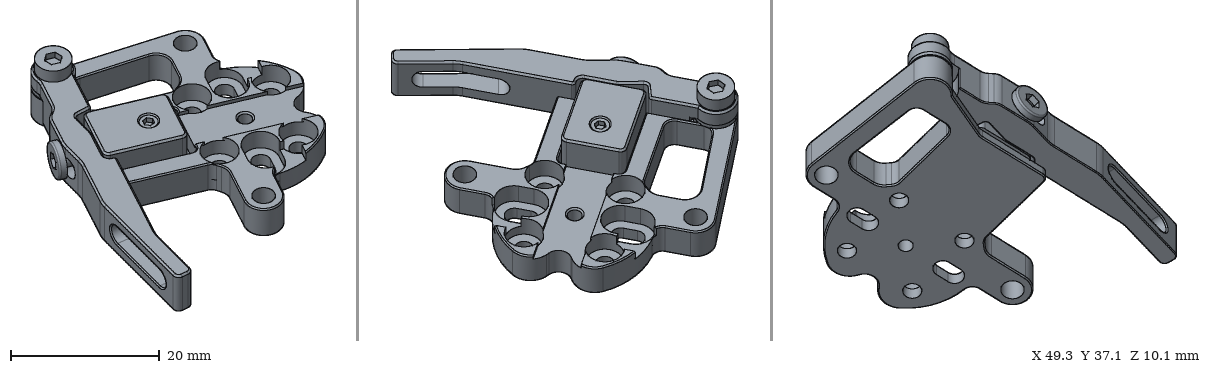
import cadquery as cq
import math

PLATE_HEIGHT = 5.0
LEDGE_HEIGHT = 1.5
EDGE_CHAMFER = 0.2
HEAD_RADIUS = 11.1
HEAD_FILLET = 1.5
NOTCH_BOTTOM_Y = 7.05
NOTCH_RADIUS = 1.8
NOTCH_SLOPE = 57
NOTCH_PEAK_RADIUS = 3.2
EAR_X = 16.0
EAR_Y = -2.95
EAR_RADIUS = 2.75
EAR_HOLE_DIAMETER = 3.15
BEVEL = 1.65
BEVEL_EAR_RADIUS = 2.2
BEVEL_LEG_RADIUS = 1.5
LEG_X = 7.65
LEG_FRONT_Y = -21.2
LEG_CORNER_RADIUS = 1.0
LEDGE_ANGLE = 23
LEDGE_CORNER_X = -4.1
LEDGE_CORNER_RADIUS = 1.73
WINDOW_TOP_Y = -5.85
WINDOW_BOTTOM_Y = -19.85
WINDOW_LEFT_TOP_X = -15.65
WINDOW_LEFT_BOTTOM_X = -14.15
WINDOW_RADIUS = 1.5
WINDOW_EAR_RADIUS = 2.2
GROOVE_WIDTH = 6.65
GROOVE_DEPTH = 0.6
CENTRE_HOLE_DIAMETER = 2.0
CENTRE_HOLE_CHAMFER = 0.25
SCREW_HOLE_OFFSET = 5.6
SCREW_HOLE_DIAMETER = 2.55
POCKET_DIAMETER = 5.25
POCKET_DEPTH = 3.0
SLOT_X = 7.4
SLOT_LENGTH = 4.7
SLOT_WIDTH = 2.7
SLOT_POCKET_LENGTH = 7.4
SIDE_STEP_DEPTH = 1.5
SIDE_STEP_X = 6.65
SIDE_STEP_FRONT_Y = 0.25
SIDE_STEP_BACK_Y = 5.22
SIDE_STEP_OVERHANG = 1.0
SIDE_STEP_RADIUS = 0.6

PIVOT_X = -13.8
PIVOT_Y = -22.55
PIVOT_RADIUS = 3.0
WASHER_THICKNESS = 0.65
PIVOT_SHANK_DIAMETER = 3.0
PIVOT_SHANK_LENGTH = 6.4
PIVOT_HEAD_DIAMETER = 5.1
PIVOT_HEAD_HEIGHT = 2.0
SOCKET_DIAMETER = 2.5
SOCKET_DEPTH = 1.0
SOCKET_TURN = 90

LEVER_TOP = 8.05
LEVER_CHAMFER = 0.3
LEVER_BOTTOM_CHAMFER = 0.15
LEVER_BACK_Y = -20.15
LEVER_FRONT_Y = -25.1
LEVER_BULGE_Y = -26.2
LEVER_NOTCH_Y = -21.75
NOTCH_MOUTH_X = 5.2
NOTCH_DEEP_X = -4.3
NOTCH_BEND_X = -0.3
NOTCH_DEEP_RADIUS = 0.6
NOTCH_INNER_RADIUS = 0.9
NOTCH_EDGE_RADIUS = 0.45
BULGE_LEFT_FOOT_X = -6.6
BULGE_LEFT_X = -5.0
BULGE_RIGHT_X = 0.65
BULGE_LEFT_RADIUS = 1.95
LEVER_BEND_BACK_X = 21.4
LEVER_BEND_FRONT_X = 13.4
LEVER_TIP_X = 30.04
ARM_ANGLE = 15
BEND_RADIUS = 4.95
TIP_RADIUS = 0.9
NECK_FILLET = 2.2
PIVOT_CLEARANCE_RADIUS = 3.85
STEP_CHAMFER = 0.25
ARM_SLOT_X = 21.75
ARM_SLOT_LENGTH = 13.15
ARM_SLOT_WIDTH = 3.0
STOP_HOLE_X = 2.05
STOP_HOLE_DIAMETER = 3.1
STOP_HOLE_DEPTH = 1.5

STOP_HEAD_DIAMETER = 5.35
STOP_HEAD_HEIGHT = 1.15
STOP_HEAD_FILLET = 0.25
STOP_SHANK_DIAMETER = 2.5
STOP_SHANK_LENGTH = 2.45

BLOCK_WIDTH = 9.05
BLOCK_BACK_Y = -9.6
BLOCK_FRONT_Y = -21.65
BLOCK_RADIUS = 0.9
BLOCK_CHAMFER = 0.3
BLOCK_POCKET_WIDTH = 9.35
BLOCK_POCKET_BACK_Y = -8.35
BLOCK_SCREW_Y = -13.75
BLOCK_SCREW_DIAMETER = 2.55
BLOCK_SCREW_LENGTH = 2.95
BLOCK_SCREW_CHAMFER = 0.2
BLOCK_SOCKET_DIAMETER = 1.65

ARM_SLOPE = math.tan(math.radians(ARM_ANGLE))
LEVER_MIDDLE_Z = (LEDGE_HEIGHT + LEVER_TOP) / 2
WASHER_TOP = PLATE_HEIGHT + WASHER_THICKNESS
OVERCUT = 2.45


def rounded_prism(corners, bottom, top):
    """Upright prism from (x, y, radius) corners; a radius of 0 leaves the corner sharp."""
    path = []
    for i, (x, y, radius) in enumerate(corners):
        corner = cq.Vector(x, y)
        before = (cq.Vector(*corners[i - 1][:2]) - corner).normalized()
        after = (cq.Vector(*corners[(i + 1) % len(corners)][:2]) - corner).normalized()
        if radius == 0:
            path.append((corner, None, corner))
            continue
        half = before.getAngle(after) / 2
        reach = radius / math.tan(half)
        sagitta = radius / math.sin(half) - radius
        middle = corner + (before + after).normalized() * sagitta
        path.append((corner + before * reach, middle, corner + after * reach))
    outline = cq.Workplane("XY", origin=(0, 0, bottom)).moveTo(*path[0][2].toTuple()[:2])
    for start, middle, end in path[1:] + path[:1]:
        outline = outline.lineTo(*start.toTuple()[:2])
        if middle is not None:
            outline = outline.threePointArc(middle.toTuple()[:2], end.toTuple()[:2])
    return outline.wire().extrude(top - bottom)


def cylinder(x, y, diameter, bottom, top):
    return cq.Workplane("XY", origin=(x, y, bottom)).circle(diameter / 2).extrude(top - bottom)


def box(x_min, x_max, y_min, y_max, bottom, top):
    corners = [(x_min, y_min, 0), (x_max, y_min, 0), (x_max, y_max, 0), (x_min, y_max, 0)]
    return rounded_prism(corners, bottom, top)


def countersink(x, y, diameter, chamfer, top):
    """45-degree cone that chamfers the rim of a hole."""
    radius = diameter / 2
    base = cq.Vector(x, y, top - chamfer)
    return cq.Workplane(cq.Solid.makeCone(radius, radius + chamfer, chamfer, base))


def fillet_edge_near(solid, point, radius):
    return solid.edges("|Z").edges(cq.selectors.NearestToPointSelector(point)).fillet(radius)


def plate_head():
    """Round head with a rounded V notch at the back."""
    head = cylinder(0, 0, 2 * HEAD_RADIUS, 0, PLATE_HEIGHT)
    head = head.cut(box(-HEAD_RADIUS, HEAD_RADIUS, -HEAD_RADIUS, EAR_Y, 0, PLATE_HEIGHT))
    slope = math.radians(NOTCH_SLOPE)
    apex_y = NOTCH_BOTTOM_Y + NOTCH_RADIUS - NOTCH_RADIUS / math.cos(slope)
    notch_top = HEAD_RADIUS + OVERCUT
    half_width = (notch_top - apex_y) / math.tan(slope)
    notch = rounded_prism(
        [(-half_width, notch_top, 0), (0, apex_y, NOTCH_RADIUS), (half_width, notch_top, 0)],
        0, PLATE_HEIGHT,
    )
    head = head.cut(notch)
    along_side = math.sqrt(HEAD_RADIUS**2 - (apex_y * math.cos(slope)) ** 2) - apex_y * math.sin(slope)
    peak_x = along_side * math.cos(slope)
    peak_y = apex_y + along_side * math.sin(slope)
    for side in (-1, 1):
        head = fillet_edge_near(head, (side * peak_x, peak_y, PLATE_HEIGHT / 2), NOTCH_PEAK_RADIUS)
    return head


def plate_frame():
    """Ears, legs, and the arm that runs down to the pivot boss."""
    ear_top = EAR_Y + EAR_RADIUS
    ear_bottom = EAR_Y - EAR_RADIUS
    run_x = PIVOT_X + EAR_X
    run_y = PIVOT_Y - EAR_Y
    distance = math.hypot(run_x, run_y)
    normal = math.atan2(run_y, run_x) - math.acos((EAR_RADIUS - PIVOT_RADIUS) / distance)
    boss_x = PIVOT_X + PIVOT_RADIUS * math.cos(normal)
    boss_y = PIVOT_Y + PIVOT_RADIUS * math.sin(normal)
    corner_x = boss_x - (ear_top - boss_y) * math.tan(normal)
    ledge_start_x = PIVOT_X + PIVOT_RADIUS / 2
    ledge_start_y = LEG_FRONT_Y - (LEDGE_CORNER_X - ledge_start_x) * math.tan(math.radians(LEDGE_ANGLE))
    frame = rounded_prism(
        [
            (corner_x, ear_top, EAR_RADIUS),
            (EAR_X, ear_top, 0),
            (EAR_X, ear_bottom, 0),
            (LEG_X + BEVEL, ear_bottom, BEVEL_EAR_RADIUS),
            (LEG_X, ear_bottom - BEVEL, BEVEL_LEG_RADIUS),
            (LEG_X, LEG_FRONT_Y, LEG_CORNER_RADIUS),
            (LEDGE_CORNER_X, LEG_FRONT_Y, LEDGE_CORNER_RADIUS),
            (ledge_start_x, ledge_start_y, 0),
            (PIVOT_X, PIVOT_Y, 0),
            (boss_x, boss_y, 0),
        ],
        0, PLATE_HEIGHT,
    )
    boss = cylinder(PIVOT_X, PIVOT_Y, 2 * PIVOT_RADIUS, 0, PLATE_HEIGHT)
    ear_end = cylinder(EAR_X, EAR_Y, 2 * EAR_RADIUS, 0, PLATE_HEIGHT)
    window = rounded_prism(
        [
            (WINDOW_LEFT_TOP_X, WINDOW_TOP_Y, WINDOW_EAR_RADIUS),
            (-LEG_X - BEVEL, WINDOW_TOP_Y, BEVEL_EAR_RADIUS),
            (-LEG_X, WINDOW_TOP_Y - BEVEL, BEVEL_LEG_RADIUS),
            (-LEG_X, WINDOW_BOTTOM_Y, WINDOW_RADIUS),
            (WINDOW_LEFT_BOTTOM_X, WINDOW_BOTTOM_Y, WINDOW_RADIUS),
        ],
        0, PLATE_HEIGHT,
    )
    return frame.union(boss).union(ear_end).cut(window)


def slot_prism(x, length, width, bottom, top):
    return cq.Workplane("XY", origin=(x, 0, bottom)).slot2D(length, width).extrude(top - bottom)


def make_plate():
    plate = plate_head().union(plate_frame())
    for side in (-1, 1):
        shoulder = (side * HEAD_RADIUS, EAR_Y + EAR_RADIUS, PLATE_HEIGHT / 2)
        plate = fillet_edge_near(plate, shoulder, HEAD_FILLET)
    plate = plate.faces(">Z").edges().chamfer(EDGE_CHAMFER)
    plate = plate.faces("<Z").edges().chamfer(EDGE_CHAMFER)

    recess_front = PIVOT_Y - PIVOT_RADIUS
    recess = box(PIVOT_X, LEG_X, recess_front, LEVER_BACK_Y, LEDGE_HEIGHT, PLATE_HEIGHT)
    boss = cylinder(PIVOT_X, PIVOT_Y, 2 * PIVOT_RADIUS, 0, PLATE_HEIGHT)
    plate = plate.cut(recess.cut(boss))

    half_width = BLOCK_POCKET_WIDTH / 2
    pocket = rounded_prism(
        [
            (-half_width, LEG_FRONT_Y, 0),
            (half_width, LEG_FRONT_Y, 0),
            (half_width, BLOCK_POCKET_BACK_Y, BLOCK_RADIUS),
            (-half_width, BLOCK_POCKET_BACK_Y, BLOCK_RADIUS),
        ],
        LEDGE_HEIGHT, PLATE_HEIGHT,
    )
    plate = plate.cut(pocket)
    rim = cq.selectors.BoxSelector(
        (-half_width - EDGE_CHAMFER, LEVER_BACK_Y + EDGE_CHAMFER, LEDGE_HEIGHT),
        (half_width + EDGE_CHAMFER, BLOCK_POCKET_BACK_Y + EDGE_CHAMFER, PLATE_HEIGHT + EDGE_CHAMFER),
    )
    plate = plate.faces(">Z").edges(rim).chamfer(EDGE_CHAMFER)

    groove_floor = PLATE_HEIGHT - GROOVE_DEPTH
    plate = plate.cut(
        box(-GROOVE_WIDTH / 2, GROOVE_WIDTH / 2, BLOCK_POCKET_BACK_Y, HEAD_RADIUS, groove_floor, PLATE_HEIGHT)
    )
    plate = plate.cut(cylinder(0, 0, CENTRE_HOLE_DIAMETER, 0, groove_floor))
    plate = plate.cut(countersink(0, 0, CENTRE_HOLE_DIAMETER, CENTRE_HOLE_CHAMFER, groove_floor))

    pocket_floor = PLATE_HEIGHT - POCKET_DEPTH
    for side in (-1, 1):
        plate = plate.cut(cylinder(side * EAR_X, EAR_Y, EAR_HOLE_DIAMETER, 0, PLATE_HEIGHT))
        for end in (-1, 1):
            x = side * SCREW_HOLE_OFFSET
            y = end * SCREW_HOLE_OFFSET
            plate = plate.cut(cylinder(x, y, SCREW_HOLE_DIAMETER, 0, PLATE_HEIGHT))
            plate = plate.cut(cylinder(x, y, POCKET_DIAMETER, pocket_floor, PLATE_HEIGHT))
        x = side * SLOT_X
        plate = plate.cut(slot_prism(x, SLOT_LENGTH, SLOT_WIDTH, 0, PLATE_HEIGHT))
        plate = plate.cut(slot_prism(x, SLOT_POCKET_LENGTH, POCKET_DIAMETER, pocket_floor, PLATE_HEIGHT))
        outside = side * (HEAD_RADIUS + SIDE_STEP_OVERHANG)
        inside = side * SIDE_STEP_X
        step = rounded_prism(
            [
                (outside, SIDE_STEP_FRONT_Y, 0),
                (inside, SIDE_STEP_FRONT_Y, 0),
                (inside, SIDE_STEP_BACK_Y, SIDE_STEP_RADIUS),
                (outside, SIDE_STEP_BACK_Y, 0),
            ],
            PLATE_HEIGHT - SIDE_STEP_DEPTH, PLATE_HEIGHT,
        )
        plate = plate.cut(step)
    return plate.cut(pivot_shank())


def pivot_shank():
    return cylinder(PIVOT_X, PIVOT_Y, PIVOT_SHANK_DIAMETER, LEVER_TOP - PIVOT_SHANK_LENGTH, LEVER_TOP)


def make_lever():
    tip_y = LEVER_BACK_Y + (LEVER_TIP_X - LEVER_BEND_BACK_X) * ARM_SLOPE
    rise = LEVER_BACK_Y - LEVER_FRONT_Y - (LEVER_BEND_BACK_X - LEVER_BEND_FRONT_X) * ARM_SLOPE
    angle = math.radians(ARM_ANGLE)
    thickness = rise * math.cos(angle)
    tip_front_x = LEVER_TIP_X + thickness * math.sin(angle)
    tip_front_y = tip_y - thickness * math.cos(angle)
    notch_deep_y = LEVER_NOTCH_Y - (NOTCH_BEND_X - NOTCH_DEEP_X) * ARM_SLOPE
    bulge_foot_x = BULGE_RIGHT_X + (LEVER_FRONT_Y - LEVER_BULGE_Y) / ARM_SLOPE
    lever = rounded_prism(
        [
            (PIVOT_X, LEVER_BACK_Y, 0),
            (-NOTCH_MOUTH_X, LEVER_BACK_Y, NOTCH_EDGE_RADIUS),
            (NOTCH_DEEP_X, notch_deep_y, NOTCH_DEEP_RADIUS),
            (NOTCH_BEND_X, LEVER_NOTCH_Y, NOTCH_INNER_RADIUS),
            (NOTCH_MOUTH_X, LEVER_NOTCH_Y, NOTCH_INNER_RADIUS),
            (NOTCH_MOUTH_X, LEVER_BACK_Y, NOTCH_EDGE_RADIUS),
            (LEVER_BEND_BACK_X, LEVER_BACK_Y, BEND_RADIUS),
            (LEVER_TIP_X, tip_y, TIP_RADIUS),
            (tip_front_x, tip_front_y, TIP_RADIUS),
            (LEVER_BEND_FRONT_X, LEVER_FRONT_Y, BEND_RADIUS),
            (bulge_foot_x, LEVER_FRONT_Y, BEND_RADIUS),
            (BULGE_RIGHT_X, LEVER_BULGE_Y, BEND_RADIUS),
            (BULGE_LEFT_X, LEVER_BULGE_Y, BULGE_LEFT_RADIUS),
            (BULGE_LEFT_FOOT_X, LEVER_FRONT_Y, BULGE_LEFT_RADIUS),
            (PIVOT_X, LEVER_FRONT_Y, 0),
        ],
        LEDGE_HEIGHT, LEVER_TOP,
    )
    lever = lever.union(cylinder(PIVOT_X, PIVOT_Y, 2 * PIVOT_RADIUS, LEDGE_HEIGHT, LEVER_TOP))
    neck = (PIVOT_X + PIVOT_RADIUS / 2, LEVER_FRONT_Y, LEVER_MIDDLE_Z)
    lever = fillet_edge_near(lever, neck, NECK_FILLET)
    lever = lever.faces(">Z").edges().chamfer(LEVER_CHAMFER)
    lever = lever.faces("<Z").edges().chamfer(LEVER_BOTTOM_CHAMFER)

    lever = lever.cut(cylinder(PIVOT_X, PIVOT_Y, 2 * PIVOT_CLEARANCE_RADIUS, 0, WASHER_TOP))
    front = PIVOT_Y - LEVER_FRONT_Y
    corner = (PIVOT_X + math.sqrt(PIVOT_CLEARANCE_RADIUS**2 - front**2), LEVER_FRONT_Y, PLATE_HEIGHT / 2)
    lever = lever.edges("|Z").edges(cq.selectors.NearestToPointSelector(corner)).chamfer(STEP_CHAMFER)

    out = cq.Vector(math.sin(angle), -math.cos(angle), 0)
    along = cq.Vector(math.cos(angle), math.sin(angle), 0)
    slot_y = LEVER_FRONT_Y + (ARM_SLOT_X - LEVER_BEND_FRONT_X) * ARM_SLOPE
    face = cq.Plane(cq.Vector(ARM_SLOT_X, slot_y, LEVER_MIDDLE_Z), along, out)
    slot = cq.Workplane(face).slot2D(ARM_SLOT_LENGTH, ARM_SLOT_WIDTH).extrude(-2 * thickness)
    lever = lever.cut(slot)
    flare = (
        cq.Workplane(face)
        .slot2D(ARM_SLOT_LENGTH + 2 * EDGE_CHAMFER, ARM_SLOT_WIDTH + 2 * EDGE_CHAMFER)
        .extrude(-EDGE_CHAMFER, taper=45)
    )
    lever = lever.cut(flare)

    hole_y = LEVER_BULGE_Y + (STOP_HOLE_X - BULGE_RIGHT_X) * ARM_SLOPE
    face = cq.Plane(cq.Vector(STOP_HOLE_X, hole_y, LEVER_MIDDLE_Z), along, out)
    lever = lever.cut(
        cq.Workplane(face).circle(STOP_HOLE_DIAMETER / 2).extrude(STOP_HOLE_DEPTH, both=True)
    )
    return lever.cut(pivot_shank()).cut(stop_shank())


def make_washer():
    washer = cylinder(PIVOT_X, PIVOT_Y, 2 * PIVOT_RADIUS, PLATE_HEIGHT, WASHER_TOP)
    return washer.cut(pivot_shank())


def make_pivot_screw():
    top = LEVER_TOP + PIVOT_HEAD_HEIGHT
    screw = pivot_shank().union(cylinder(PIVOT_X, PIVOT_Y, PIVOT_HEAD_DIAMETER, LEVER_TOP, top))
    socket = (
        cq.Workplane("XY", origin=(PIVOT_X, PIVOT_Y, top))
        .transformed(rotate=(0, 0, SOCKET_TURN))
        .polygon(6, SOCKET_DIAMETER)
        .extrude(-SOCKET_DEPTH)
    )
    return screw.cut(socket)


def stop_shank():
    face = cq.Workplane("XZ", origin=(0, LEVER_BULGE_Y, LEVER_MIDDLE_Z))
    return face.circle(STOP_SHANK_DIAMETER / 2).extrude(-STOP_SHANK_LENGTH)


def make_stop_screw():
    face = cq.Workplane("XZ", origin=(0, LEVER_BULGE_Y, LEVER_MIDDLE_Z))
    head = face.circle(STOP_HEAD_DIAMETER / 2).extrude(STOP_HEAD_HEIGHT)
    head = head.faces("<Y").edges().fillet(STOP_HEAD_FILLET)
    socket = (
        face.workplane(offset=STOP_HEAD_HEIGHT)
        .transformed(rotate=(0, 0, SOCKET_TURN))
        .polygon(6, SOCKET_DIAMETER)
        .extrude(-SOCKET_DEPTH)
    )
    return head.union(stop_shank()).cut(socket)


def block_screw_shank():
    top = LEVER_TOP - BLOCK_SCREW_CHAMFER
    return cylinder(0, BLOCK_SCREW_Y, BLOCK_SCREW_DIAMETER, top - BLOCK_SCREW_LENGTH, top)


def make_block():
    block = box(-BLOCK_WIDTH / 2, BLOCK_WIDTH / 2, BLOCK_FRONT_Y, BLOCK_BACK_Y, LEDGE_HEIGHT, LEVER_TOP)
    block = block.edges("|Z").fillet(BLOCK_RADIUS)
    block = block.faces(">Z").edges().chamfer(BLOCK_CHAMFER)
    rim = countersink(0, BLOCK_SCREW_Y, BLOCK_SCREW_DIAMETER, BLOCK_SCREW_CHAMFER, LEVER_TOP)
    return block.cut(rim).cut(block_screw_shank())


def make_block_screw():
    socket = (
        cq.Workplane("XY", origin=(0, BLOCK_SCREW_Y, LEVER_TOP))
        .polygon(6, BLOCK_SOCKET_DIAMETER)
        .extrude(-SOCKET_DEPTH)
    )
    return block_screw_shank().cut(socket)


plate = make_plate()
lever = make_lever()
washer = make_washer()
pivot_screw = make_pivot_screw()
stop_screw = make_stop_screw()
block = make_block()
block_screw = make_block_screw()

result = cq.Compound.makeCompound(
    [
        plate.val(),
        lever.val(),
        washer.val(),
        pivot_screw.val(),
        stop_screw.val(),
        block.val(),
        block_screw.val(),
    ]
)